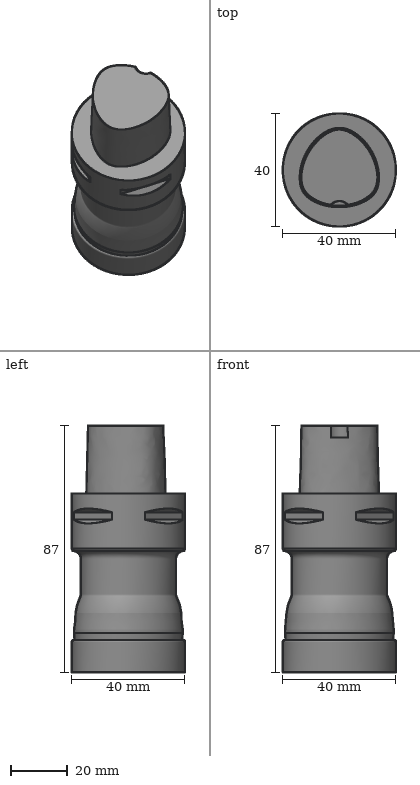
import cadquery as cq
import math

total_height = 87.0
flange_top = 63.2
flange_edge = 43.7
flange_underside = 42.8
neck_top = 40.1
neck_bottom = 27.4
bulge_top = 26.6
bulge_bottom = 20.9
band_top = 15.0
joint_height = 13.9
collar_top = 11.5

flange_radius = 40.0 / 2
neck_radius = 33.7 / 2
band_radius = 38.45 / 2
bulge_bottom_radius = 18.7
bulge_top_radius = 17.05
collar_root_radius = 19.05
collar_shoulder_fillet = 0.9
collar_bottom_fillet = 0.3
flange_chamfer = 0.35
neck_fillet = flange_underside - neck_top

shank_base_width = 28.0
shank_taper = 1 / 20
lobe_height = 0.9
outline_steps = 36

notch_radius = 3.8
notch_depth = 4.1
notch_inner_y = -11.0

groove_count = 4
groove_first_angle = 45.0
groove_height = 55.2
groove_floor_width = 2.5
groove_floor_distance = 17.7
groove_flank_angle = 30.0
groove_length = 2 * flange_radius


def make_turned_body():
    """Flange, neck and bulge of the holder, turned about Z."""
    fillet_center_radius = neck_radius + neck_fillet
    fillet_middle = (
        fillet_center_radius - neck_fillet * math.cos(math.radians(45)),
        neck_top + neck_fillet * math.sin(math.radians(45)),
    )
    profile = (
        cq.Workplane("XZ")
        .moveTo(0, joint_height)
        .lineTo(band_radius, joint_height)
        .lineTo(band_radius, band_top)
        .lineTo(bulge_bottom_radius, bulge_bottom)
        .tangentArcPoint((bulge_top_radius, bulge_top), relative=False)
        .tangentArcPoint((neck_radius, neck_bottom), relative=False)
        .lineTo(neck_radius, neck_top)
        .threePointArc(fillet_middle, (fillet_center_radius, flange_underside))
        .lineTo(flange_radius - flange_chamfer, flange_underside)
        .lineTo(flange_radius, flange_edge)
        .lineTo(flange_radius, flange_top)
        .lineTo(0, flange_top)
        .close()
    )
    return profile.revolve(360, (0, 0, 0), (0, 1, 0))


def lobed_outline(width):
    """Points of a three-lobed curve that has the same width in every direction."""
    points = []
    for step in range(outline_steps):
        turn = 2 * math.pi * step / outline_steps
        support = width / 2 + lobe_height * math.cos(3 * turn)
        support_slope = -3 * lobe_height * math.sin(3 * turn)
        along_lobe = support * math.cos(turn) - support_slope * math.sin(turn)
        across_lobe = support * math.sin(turn) + support_slope * math.cos(turn)
        points.append((-across_lobe, along_lobe))
    return points


def make_shank():
    """Tapered shank standing on the flange, with its key notch."""
    shank_height = total_height - flange_top
    shank_top_width = shank_base_width - shank_taper * shank_height
    shank = (
        cq.Workplane("XY", origin=(0, 0, flange_top))
        .spline(lobed_outline(shank_base_width), periodic=True)
        .close()
        .workplane(offset=shank_height)
        .spline(lobed_outline(shank_top_width), periodic=True)
        .close()
        .loft(ruled=True)
    )
    notch = (
        cq.Workplane("XY", origin=(0, 0, total_height - notch_depth))
        .center(0, notch_inner_y - notch_radius)
        .circle(notch_radius)
        .extrude(notch_depth)
    )
    return shank.cut(notch)


def make_groove(angle):
    """Cutter for one straight groove with flared flanks, turned about Z to its angle."""
    groove_depth = flange_radius - groove_floor_distance
    half_floor = groove_floor_width / 2
    half_mouth = half_floor + groove_depth * math.tan(math.radians(groove_flank_angle))
    return (
        cq.Workplane("XZ")
        .polyline([
            (groove_floor_distance, groove_height - half_floor),
            (flange_radius, groove_height - half_mouth),
            (flange_radius, groove_height + half_mouth),
            (groove_floor_distance, groove_height + half_floor),
        ])
        .close()
        .extrude(groove_length / 2, both=True)
        .rotate((0, 0, 0), (0, 0, 1), angle)
    )


def make_holder():
    """Upper body: turned body, shank and gripper grooves in one solid."""
    holder = make_turned_body().union(make_shank())
    for index in range(groove_count):
        angle = groove_first_angle + index * 360 / groove_count
        holder = holder.cut(make_groove(angle))
    return holder


def make_nut():
    """Lower body: collar with rounded edges and a tapered root that meets the holder."""
    collar = (
        cq.Workplane("XY")
        .circle(flange_radius)
        .extrude(collar_top)
        .faces(">Z").edges().fillet(collar_shoulder_fillet)
        .faces("<Z").edges().fillet(collar_bottom_fillet)
    )
    root = (
        cq.Workplane("XY", origin=(0, 0, collar_top))
        .circle(collar_root_radius)
        .workplane(offset=joint_height - collar_top)
        .circle(band_radius)
        .loft(ruled=True)
    )
    return collar.union(root)


holder = make_holder()
nut = make_nut()
result = cq.Compound.makeCompound([holder.solids().val(), nut.solids().val()])